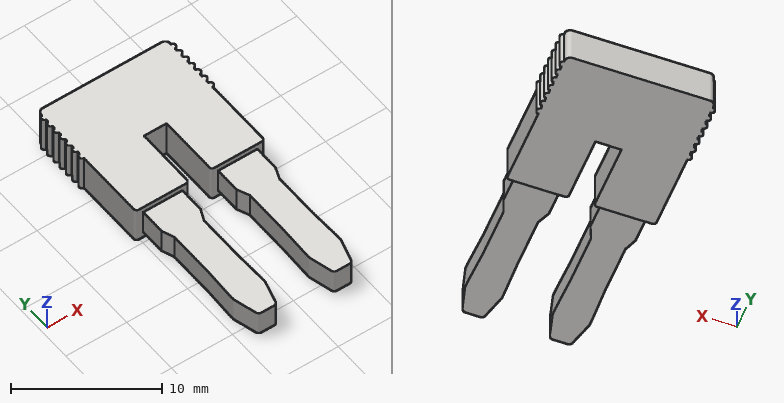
import cadquery as cq

total_length = 22.7
body_thickness = 3.0
pin_thickness = 2.0

body_half_width = 5.3
body_length = 10.96
body_bottom = total_length - body_length
top_corner_radius = 0.4
foot_corner_radius = 0.23
slot_width = 1.85
slot_depth = 5.95

ridge_count = 7
ridge_span = 4.2
ridge_pitch = ridge_span / (ridge_count - 1)
ridge_chord = 0.48
ridge_height = 0.215
first_ridge_drop = 0.73

shoulder_top = 9.7
shoulder_bottom = 8.76
swell_top = 5.05
swell_bottom = 2.52
wedge_top = 2.02
tip_radius = 0.3

pin_spacing = 6.15
pin_axis = pin_spacing / 2
root_half_width = 1.61
shank_outer, shank_inner = 1.25, 1.2
swell_outer, swell_inner = 1.35, 1.27
tip_outer, tip_inner = 0.77, 0.73


def centered_prism(outline, thickness):
    """Extrude a closed outline equally to both sides of z = 0."""
    return outline.extrude(thickness / 2, both=True)


def make_ridge(side, y_middle):
    """One rounded grip ridge; side is -1 or +1 along X."""
    wall = side * body_half_width
    crest = side * (body_half_width + ridge_height)
    outline = (
        cq.Workplane("XY")
        .moveTo(0, y_middle - ridge_chord / 2)
        .lineTo(wall, y_middle - ridge_chord / 2)
        .threePointArc((crest, y_middle), (wall, y_middle + ridge_chord / 2))
        .lineTo(0, y_middle + ridge_chord / 2)
        .close()
    )
    return centered_prism(outline, body_thickness)


def make_body():
    block = centered_prism(
        cq.Workplane("XY")
        .center(0, body_bottom + body_length / 2)
        .rect(2 * body_half_width, body_length),
        body_thickness,
    )
    block = block.edges("|Z and >Y").fillet(top_corner_radius)

    slot_length = body_length - slot_depth
    slot = centered_prism(
        cq.Workplane("XY")
        .center(0, body_bottom + slot_length / 2)
        .rect(slot_width, slot_length),
        body_thickness,
    )
    body = block.cut(slot).edges("|Z and <Y").fillet(foot_corner_radius)

    for side in (-1, 1):
        for index in range(ridge_count):
            y_middle = total_length - first_ridge_drop - index * ridge_pitch
            body = body.union(make_ridge(side, y_middle))
    return body


def make_pin():
    """Right-hand pin, with its root face against the foot of the body."""
    outline = cq.Workplane("XY").center(pin_axis, 0).polyline([
        (root_half_width, body_bottom),
        (root_half_width, shoulder_top),
        (shank_outer, shoulder_bottom),
        (shank_outer, swell_top),
        (swell_outer, swell_bottom),
        (swell_outer, wedge_top),
        (tip_outer, 0),
        (-tip_inner, 0),
        (-swell_inner, wedge_top),
        (-swell_inner, swell_bottom),
        (-shank_inner, swell_top),
        (-shank_inner, shoulder_bottom),
        (-root_half_width, shoulder_top),
        (-root_half_width, body_bottom),
    ]).close()
    return centered_prism(outline, pin_thickness).edges("|Z and <Y").fillet(tip_radius)


right_pin = make_pin()
left_pin = right_pin.mirror("YZ")
result = make_body().union(right_pin).union(left_pin)